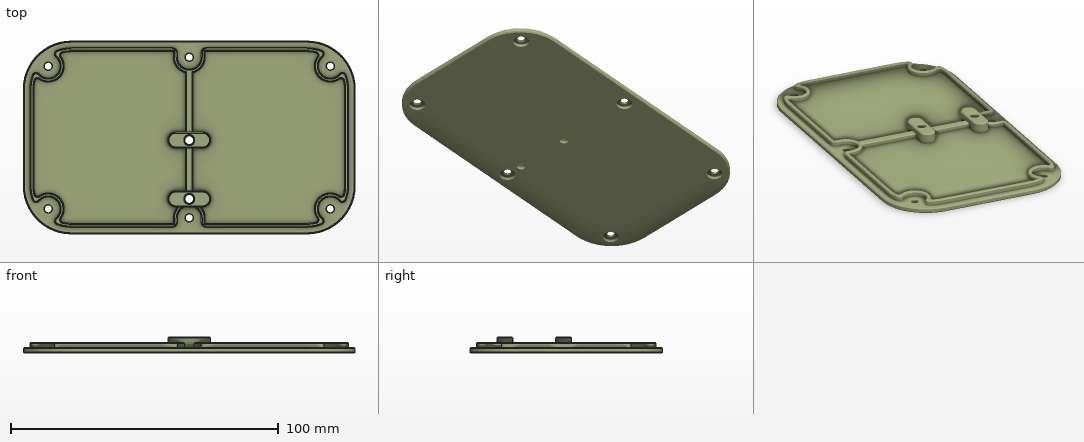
import cadquery as cq

plate_length = 124.0
plate_width = 72.0
plate_thickness = 2.0
plate_corner_radius = 18.0

edge_chamfer = 0.4

rim_inset = 2.5
rim_thickness = 1.5
rim_top = 2 * plate_thickness
screw_clearance_radius = 4.5
corner_blend_outer = 1.5
corner_blend_inner = 1.0
blend_search_margin = 0.1
middle_blend = 1.9

screw_hole_diameter = 3.0
screw_recess_diameter = 6.0
screw_recess_depth = 1.2
corner_screw_x = 52.7
corner_screw_y = 26.7
middle_screw_y = 30.0

rib_width = 3.0
pad_length = 16.0
pad_width = 6.0
pad_top = 3 * plate_thickness
pad_hole_diameter = 3.3
pad_hole_chamfer = 0.4
pad_centers_y = [-1.0, -23.0]

corner_screws = [(sx * corner_screw_x, sy * corner_screw_y) for sx in (-1, 1) for sy in (-1, 1)]
middle_screws = [(0, -middle_screw_y), (0, middle_screw_y)]


def rounded_block(inset, height):
    """Block with the plate's outline moved inward by inset."""
    return (
        cq.Workplane("XY")
        .rect(plate_length - 2 * inset, plate_width - 2 * inset)
        .extrude(height)
        .edges("|Z")
        .fillet(plate_corner_radius - inset)
    )


def make_plate():
    return rounded_block(0, plate_thickness).faces("<Z or >Z").edges().chamfer(edge_chamfer)


def edges_near_corner_screws(block, reach):
    """Upright edges where the corner clearances cut through the outline."""
    picked = []
    for edge in block.edges("|Z").vals():
        point = edge.Center()
        for x, y in corner_screws:
            if abs(point.x - x) < reach and abs(point.y - y) < reach:
                picked.append(edge)
    return block.newObject(picked)


def notched_block(inset, clearance, corner_blend, end_blend):
    """Block inside the plate outline, notched round every screw hole.

    An end_blend of 0 leaves the mouths of the two middle notches sharp.
    """
    block = rounded_block(inset, rim_top)
    block = block.cut(cq.Workplane("XY").pushPoints(corner_screws).circle(clearance).extrude(rim_top))
    block = edges_near_corner_screws(block, clearance + blend_search_margin).fillet(corner_blend)

    for x, y in middle_screws:
        round_end = cq.Workplane("XY").center(x, y).circle(clearance).extrude(rim_top)
        outer_y = plate_width / 2 if y > 0 else -plate_width / 2
        mouth = (
            cq.Workplane("XY")
            .center(x, (y + outer_y) / 2)
            .rect(2 * clearance, abs(outer_y - y))
            .extrude(rim_top)
        )
        block = block.cut(round_end.union(mouth))
    if end_blend:
        half_width = plate_width / 2 - inset
        for side in (-1, 1):
            for y in (-half_width, half_width):
                mouth_corner = cq.selectors.NearestToPointSelector((side * clearance, y, rim_top / 2))
                block = block.edges("|Z").edges(mouth_corner).fillet(end_blend)
    return block


def make_rim():
    outer = notched_block(rim_inset, screw_clearance_radius, corner_blend_outer, middle_blend)
    inner = notched_block(
        rim_inset + rim_thickness, screw_clearance_radius + rim_thickness, corner_blend_inner, 0
    )
    rib_length = 2 * (middle_screw_y - screw_clearance_radius - rim_thickness / 2)
    rib = cq.Workplane("XY").rect(rib_width, rib_length).extrude(rim_top)
    return outer.cut(inner).union(rib).faces(">Z").edges().chamfer(edge_chamfer)


def make_pad(y):
    return (
        cq.Workplane("XY")
        .center(0, y)
        .slot2D(pad_length, pad_width)
        .extrude(pad_top)
        .faces(">Z")
        .edges()
        .chamfer(edge_chamfer)
    )


def make_pad_hole(y):
    """Through hole with a chamfered mouth on top of the pad."""
    bore = cq.Workplane("XY").center(0, y).circle(pad_hole_diameter / 2).extrude(pad_top)
    mouth = (
        cq.Workplane("XY", origin=(0, y, pad_top))
        .circle(pad_hole_diameter / 2 + pad_hole_chamfer)
        .workplane(offset=-pad_hole_chamfer)
        .circle(pad_hole_diameter / 2)
        .loft()
    )
    return bore.union(mouth)


def make_screw_holes():
    """Through holes for all six screws, each with a wider recess in the underside."""
    spots = cq.Workplane("XY").pushPoints(corner_screws + middle_screws)
    bores = spots.circle(screw_hole_diameter / 2).extrude(plate_thickness)
    recesses = spots.circle(screw_recess_diameter / 2).extrude(screw_recess_depth)
    return bores.union(recesses)


result = make_plate().union(make_rim())
for pad_y in pad_centers_y:
    result = result.union(make_pad(pad_y))
for pad_y in pad_centers_y:
    result = result.cut(make_pad_hole(pad_y))
result = result.cut(make_screw_holes())